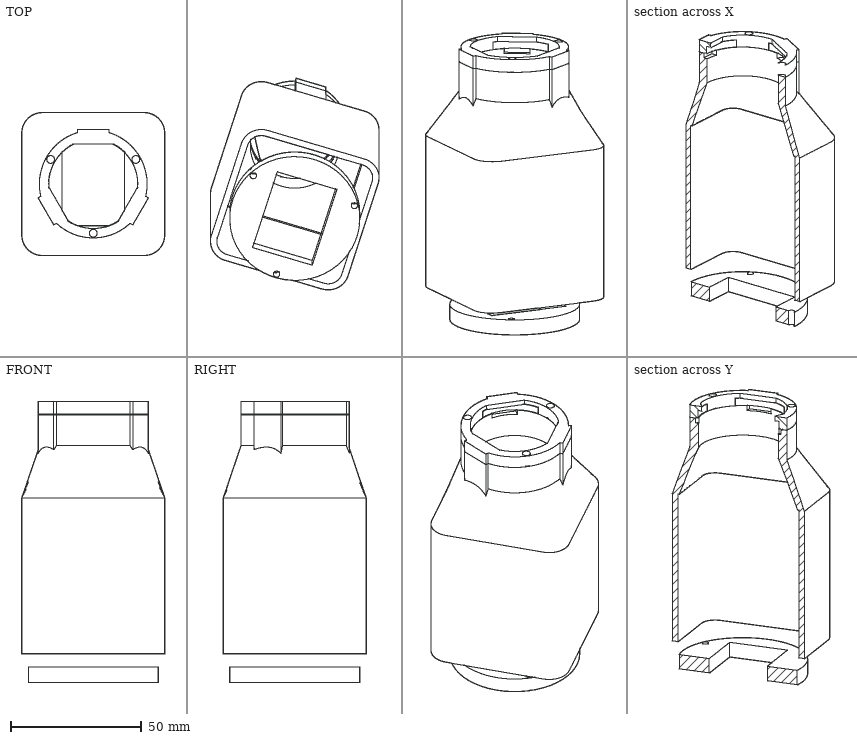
import cadquery as cq
import math

plate_thickness = 6.0
plate_gap = 5.0
body_height = 60.0
shoulder_height = 20.0
shoulder_points = 160
neck_height = 12.0
joint_gap = 0.01
cap_height = 5.0

body_bottom = plate_thickness + plate_gap
body_top = body_bottom + body_height
neck_bottom = body_top + shoulder_height
neck_top = neck_bottom + neck_height
cap_bottom = neck_top + joint_gap

body_width = 55.0
corner_radius = 8.0
wall = 2.5
shoulder_wall = 3.0

neck_radius = 20.7
neck_bore = 34.2
pad_count = 3
pad_angles = [90.0 + i * 360.0 / pad_count for i in range(pad_count)]
hole_angles = [angle + 180.0 / pad_count for angle in pad_angles]
pad_distance = 21.0
pad_width = 12.0
pad_overlap = 10.0

pocket_height = 2.0
pocket_width = 10.0
pocket_distance = 18.7

recess_diameter = 34.7
lip_flat_distance = 15.36
lip_height = 2.0
recess_height = cap_height - lip_height
recess_start = -45.0
recess_end = 32.0
pin_hole_diameter = 3.0
pin_hole_circle = 18.9

plate_diameter = 50.0
window_width = 24.0
window_length = 32.0
plate_hole_diameter = 2.4
plate_hole_circle = 23.5


def polar(radius, angle):
    """Point at a radius and an angle in degrees."""
    return (radius * math.cos(math.radians(angle)), radius * math.sin(math.radians(angle)))


def cylinder(bottom, height, radius):
    return cq.Workplane("XY", origin=(0, 0, bottom)).circle(radius).extrude(height)


def square_block(width, radius):
    sketch = cq.Sketch().rect(width, width).vertices().fillet(radius)
    return cq.Workplane("XY", origin=(0, 0, body_bottom)).placeSketch(sketch).extrude(body_height)


def square_point(distance, width, corner):
    """Point on the rounded square, a given distance along it from the middle of the +X side."""
    half_side = width / 2 - corner
    quarter = 2 * half_side + corner * math.pi / 2
    turn = 90.0 * math.floor(distance / quarter)
    along = distance % quarter
    if along <= half_side:
        x, y = width / 2, along
    elif along >= quarter - half_side:
        x, y = quarter - along, width / 2
    else:
        arc_x, arc_y = polar(corner, math.degrees((along - half_side) / corner))
        x, y = half_side + arc_x, half_side + arc_y
    return polar(math.hypot(x, y), math.degrees(math.atan2(y, x)) + turn)


def shoulder(width, corner, radius):
    """Smooth blend from the rounded square at the body top to the circle at the neck bottom."""
    perimeter = 4 * (width - 2 * corner) + 2 * math.pi * corner
    steps = [i / shoulder_points for i in range(shoulder_points)]
    square_points = [square_point(step * perimeter, width, corner) for step in steps]
    circle_points = [polar(radius, step * 360.0) for step in steps]
    return (
        cq.Workplane("XY", origin=(0, 0, body_top))
        .spline(square_points, periodic=True)
        .close()
        .workplane(offset=shoulder_height)
        .spline(circle_points, periodic=True)
        .close()
        .loft()
    )


def pad_blocks(bottom, height, width, near, far):
    """Upright blocks on the pad directions, between two distances from the axis."""
    blocks = cq.Workplane("XY")
    for angle in pad_angles:
        block = (
            cq.Workplane("XY", origin=(0, 0, bottom))
            .center((near + far) / 2, 0)
            .rect(far - near, width)
            .extrude(height)
        )
        blocks = blocks.add(block.rotate((0, 0, 0), (0, 0, 1), angle))
    return blocks.combine()


def sectors(bottom, height, radius, start, end):
    """Pie-shaped wedges, placed relative to the middle of each pad."""
    wedges = cq.Workplane("XY")
    for angle in pad_angles:
        wedge = (
            cq.Workplane("XY", origin=(0, 0, bottom))
            .lineTo(*polar(radius, angle + start))
            .threePointArc(polar(radius, angle + (start + end) / 2), polar(radius, angle + end))
            .close()
            .extrude(height)
        )
        wedges = wedges.add(wedge)
    return wedges.combine()


def make_housing():
    pad_bottom = neck_bottom - pad_overlap
    pockets = pad_blocks(neck_top - pocket_height, pocket_height, pocket_width, 0, pocket_distance)
    outside = (
        square_block(body_width, corner_radius)
        .union(shoulder(body_width, corner_radius, neck_radius))
        .union(cylinder(neck_bottom, neck_height, neck_radius))
        .union(pad_blocks(pad_bottom, neck_top - pad_bottom, pad_width, 0, pad_distance))
    )
    return (
        outside.cut(square_block(body_width - 2 * wall, corner_radius - wall))
        .cut(shoulder(body_width - 2 * shoulder_wall, corner_radius - shoulder_wall, neck_bore / 2))
        .cut(cylinder(neck_bottom, neck_height, neck_bore / 2))
        .cut(pockets)
    )


def make_cap():
    lip_flats = pad_blocks(cap_bottom, cap_height, neck_bore, lip_flat_distance, neck_bore)
    opening = cylinder(cap_bottom, cap_height, neck_bore / 2).cut(lip_flats)
    pin_holes = (
        cq.Workplane("XY", origin=(0, 0, cap_bottom))
        .pushPoints([polar(pin_hole_circle, angle) for angle in hole_angles])
        .circle(pin_hole_diameter / 2)
        .extrude(cap_height)
    )
    return (
        cylinder(cap_bottom, cap_height, neck_radius)
        .union(pad_blocks(cap_bottom, cap_height, pad_width, 0, pad_distance))
        .cut(opening)
        .cut(sectors(cap_bottom, recess_height, recess_diameter / 2, recess_start, recess_end))
        .cut(pin_holes)
    )


def make_base_plate():
    return (
        cylinder(0, plate_thickness, plate_diameter / 2)
        .faces(">Z")
        .workplane(origin=(0, 0, plate_thickness))
        .rect(window_width, window_length)
        .pushPoints([polar(plate_hole_circle, angle) for angle in hole_angles])
        .circle(plate_hole_diameter / 2)
        .cutThruAll()
    )


housing = make_housing()
cap = make_cap()
base_plate = make_base_plate()

result = cq.Compound.makeCompound([housing.val(), cap.val(), base_plate.val()])